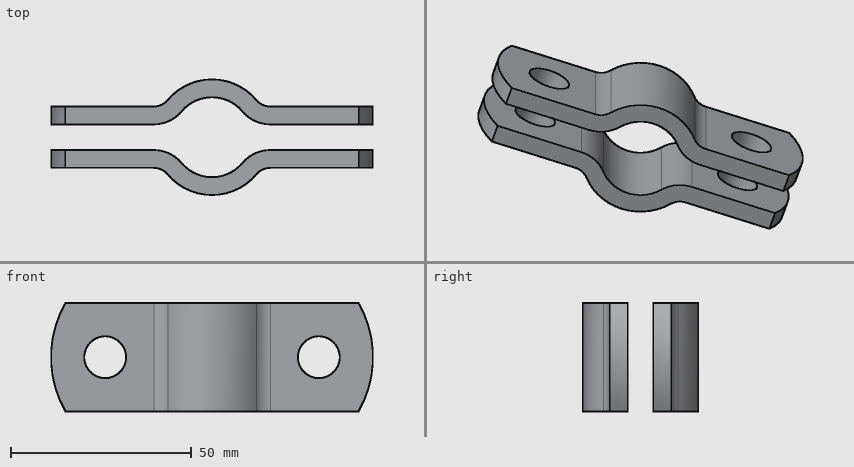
import cadquery as cq
import math

length = 89.0
width = 30.0
thickness = 5.0
end_radius = 30.0

pipe_radius = 11.0
saddle_radius = pipe_radius + thickness
bend_inside_radius = 5.0
bend_outside_radius = bend_inside_radius + thickness

ear_gap = 7.0
ear_inner_y = ear_gap / 2
ear_outer_y = ear_inner_y + thickness

hole_diameter = 11.5
hole_edge_distance = 15.0
hole_x = length / 2 - hole_edge_distance

bend_center_y = ear_outer_y + bend_inside_radius
bend_center_distance = saddle_radius + bend_inside_radius
bend_center_x = math.sqrt(bend_center_distance**2 - bend_center_y**2)
bend_start_angle = math.atan2(bend_center_y, bend_center_x)


def saddle_point(radius):
    """Point where a saddle arc of this radius meets the right-hand bend."""
    return (radius * math.cos(bend_start_angle), radius * math.sin(bend_start_angle))


def bend_middle(radius):
    """Middle of the right-hand bend arc, halfway from the saddle tangent to the ear tangent."""
    angle = math.pi + (bend_start_angle + math.pi / 2) / 2
    return (
        bend_center_x + radius * math.cos(angle),
        bend_center_y + radius * math.sin(angle),
    )


def mirrored(point):
    """Matching point on the left-hand side of the strap."""
    return (-point[0], point[1])


def bent_strip():
    """Constant-thickness strap profile, extruded along the pipe axis."""
    end_x = length / 2
    outer_tangent = saddle_point(saddle_radius)
    inner_tangent = saddle_point(pipe_radius)
    outer_bend = bend_middle(bend_inside_radius)
    inner_bend = bend_middle(bend_outside_radius)
    return (
        cq.Workplane("XY", origin=(0, 0, -width / 2))
        .moveTo(-end_x, ear_outer_y)
        .lineTo(-bend_center_x, ear_outer_y)
        .threePointArc(mirrored(outer_bend), mirrored(outer_tangent))
        .threePointArc((0, saddle_radius), outer_tangent)
        .threePointArc(outer_bend, (bend_center_x, ear_outer_y))
        .lineTo(end_x, ear_outer_y)
        .lineTo(end_x, ear_inner_y)
        .lineTo(bend_center_x, ear_inner_y)
        .threePointArc(inner_bend, inner_tangent)
        .threePointArc((0, pipe_radius), mirrored(inner_tangent))
        .threePointArc(mirrored(inner_bend), (-bend_center_x, ear_inner_y))
        .lineTo(-end_x, ear_inner_y)
        .close()
        .extrude(width)
    )


def end_outline():
    """Strap outline in XZ with rounded ends, deep enough to trim the whole strip."""
    corner_x = length / 2 - end_radius + math.sqrt(end_radius**2 - (width / 2) ** 2)
    return (
        cq.Workplane("XZ")
        .moveTo(-corner_x, -width / 2)
        .lineTo(corner_x, -width / 2)
        .threePointArc((length / 2, 0), (corner_x, width / 2))
        .lineTo(-corner_x, width / 2)
        .threePointArc((-length / 2, 0), (-corner_x, -width / 2))
        .close()
        .extrude(-saddle_radius)
    )


def bolt_holes():
    """Cylinders through both ears, along Y."""
    return (
        cq.Workplane("XZ")
        .pushPoints([(-hole_x, 0), (hole_x, 0)])
        .circle(hole_diameter / 2)
        .extrude(-saddle_radius)
    )


def clamp_half(turn):
    """One clamp half, turned about the pipe axis by the given angle in degrees."""
    half = bent_strip().intersect(end_outline()).cut(bolt_holes())
    return half.rotate((0, 0, 0), (0, 0, 1), turn)


clamp_halves = [clamp_half(turn) for turn in (0, 180)]

result = cq.Compound.makeCompound([half.solids().val() for half in clamp_halves])